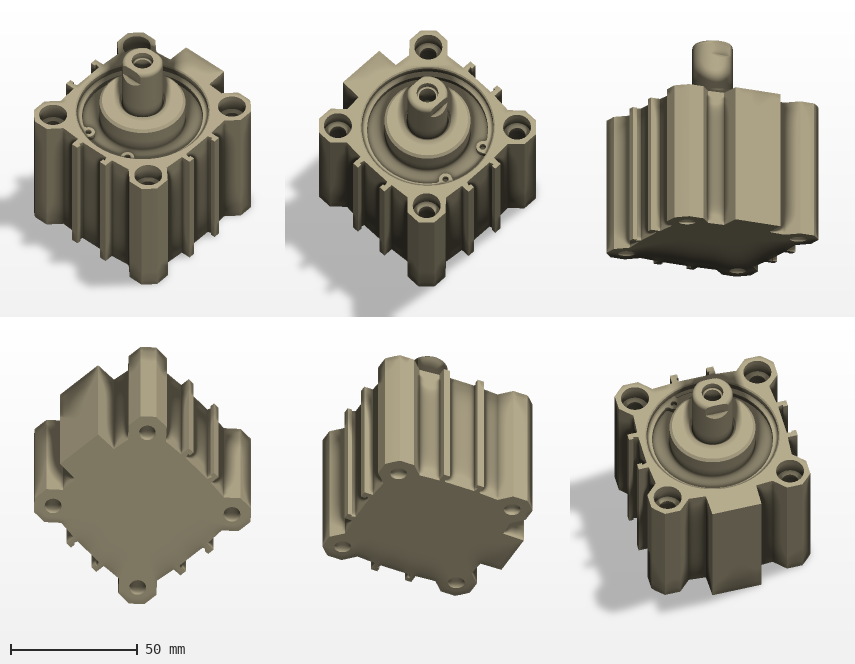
import cadquery as cq
import math

TOTAL_HEIGHT = 83.0
BODY_HEIGHT = 54.45

BODY_WIDTH = 65.0
TOTAL_DEPTH = 70.0
HALF_WIDTH = BODY_WIDTH / 2
POST_CORNER = 28.05
POST_START = 21.8
WAIST = 27.8
WALL = 28.6
WALL_FLAT_HALF = 6.4
PORT_BLOCK_TIP_HALF = 10.05
PORT_BLOCK_ROOT_HALF = 10.3

RIB_HOOK_STEP = 0.9
RIB_ROOT_INSET = 0.3
RIB_HOOK_HEIGHT = 1.9
SIDE_RIB_OUTER = 8.8
SIDE_RIB_TIP = 6.15
FRONT_RIB_OUTER = 8.9
FRONT_RIB_TIP = 5.9
FRONT_RIB_REACH = 32.2

MOUNT_PITCH = 50.05
MOUNT_DIA = 6.6
MOUNT_BORE_DIA = 11.0
MOUNT_BORE_DEPTH = 7.0

BORE_DIA = 52.2
BORE_CHAMFER = 0.5
COVER_DIA = 51.8
COVER_THICKNESS = 12.0
BOSS_DIA = 34.0
BOSS_TOP = 60.4
BOSS_CHAMFER = 1.0
BOSS_ROOT_FILLET = 0.9
ROD_CLEARANCE_DIA = 16.5
WIPER_SEAT_DIA = 17.7
WIPER_SEAT_DEPTH = 0.8
ROD_CLEARANCE_CHAMFER = 0.3
WIPER_SEAT_CHAMFER = 0.5

RING_DIA = 55.2
RING_INNER_DIA = 47.8
RING_THICKNESS = 2.2
RING_TOP_DEPTH = 3.0
EAR_X = 10.3
EAR_Y = -20.7
EAR_RADIUS = 2.6
EAR_HOLE_DIA = 2.5
EAR_FILLET = 1.25
RING_END_ANGLE = 25.0

ROD_DIA = 16.0
ROD_END_FILLET = 1.75
ROD_FLATS_WIDTH = 13.0
ROD_FLATS_LENGTH = 5.5
ROD_BORE_DIA = 8.55
ROD_BORE_DEPTH = 2.9
ROD_THREAD_DIA = 6.8
ROD_THREAD_DEPTH = 13.0
DRILL_POINT_ANGLE = 118.0

ring_top = BODY_HEIGHT - RING_TOP_DEPTH
ring_bottom = ring_top - RING_THICKNESS
seat_floor = ring_bottom - COVER_THICKNESS


def cylinder(diameter, bottom, top):
    """Solid cylinder on the Z axis between two levels."""
    return cq.Workplane("XY").workplane(offset=bottom).circle(diameter / 2).extrude(top - bottom)


def turn(point, quarter):
    """Point on the +Y side, turned clockwise by a number of quarter turns."""
    x, y = point
    for _ in range(quarter):
        x, y = y, -x
    return x, y


def housing_core():
    """Square barrel with four corner posts whose corners lie on a circle about the axis."""
    waist_x = POST_START - (HALF_WIDTH - WAIST)
    side_half = [
        (WALL_FLAT_HALF, WALL),
        (waist_x, WAIST),
        (POST_START, HALF_WIDTH),
        (POST_CORNER, HALF_WIDTH),
    ]
    side = [(-x, y) for x, y in reversed(side_half)] + side_half
    corner_mid = math.hypot(POST_CORNER, HALF_WIDTH) / math.sqrt(2)

    outline = cq.Workplane("XY").moveTo(*side[0])
    for quarter in range(4):
        for point in side[1:]:
            outline = outline.lineTo(*turn(point, quarter))
        outline = outline.threePointArc(
            turn((corner_mid, corner_mid), quarter),
            turn(side[0], quarter + 1),
        )
    return outline.close().extrude(BODY_HEIGHT)


def rib(outer, tip, reach, quarter, mirror):
    """Hooked rib, full body height, on one side of the barrel and one half of that side."""
    root = tip + RIB_ROOT_INSET
    profile = [
        (outer, WAIST),
        (outer, reach),
        (tip, reach),
        (tip, reach - RIB_HOOK_HEIGHT),
        (tip + RIB_HOOK_STEP, reach - RIB_HOOK_HEIGHT),
        (root, WALL),
        (root, WAIST),
    ]
    points = [turn((mirror * x, y), quarter) for x, y in profile]
    return cq.Workplane("XY").polyline(points).close().extrude(BODY_HEIGHT)


def port_block():
    """Slightly tapered block on the +Y side."""
    tip_y = TOTAL_DEPTH - HALF_WIDTH
    points = [
        (-PORT_BLOCK_ROOT_HALF, WAIST),
        (-PORT_BLOCK_TIP_HALF, tip_y),
        (PORT_BLOCK_TIP_HALF, tip_y),
        (PORT_BLOCK_ROOT_HALF, WAIST),
    ]
    return cq.Workplane("XY").polyline(points).close().extrude(BODY_HEIGHT)


def make_housing():
    body = housing_core().union(port_block())
    for mirror in (-1, 1):
        for quarter in (1, 3):
            body = body.union(rib(SIDE_RIB_OUTER, SIDE_RIB_TIP, HALF_WIDTH, quarter, mirror))
        body = body.union(rib(FRONT_RIB_OUTER, FRONT_RIB_TIP, FRONT_RIB_REACH, 2, mirror))

    mouth_profile = [
        (0, BODY_HEIGHT),
        (BORE_DIA / 2 + BORE_CHAMFER, BODY_HEIGHT),
        (BORE_DIA / 2, BODY_HEIGHT - BORE_CHAMFER),
        (0, BODY_HEIGHT - BORE_CHAMFER),
    ]
    mouth = cq.Workplane("XZ").polyline(mouth_profile).close().revolve(360, (0, 0, 0), (0, 1, 0))
    body = body.cut(cylinder(BORE_DIA, seat_floor, BODY_HEIGHT))
    body = body.cut(mouth)
    body = body.cut(cylinder(RING_DIA, ring_bottom, ring_top))

    return (
        body.faces(">Z").workplane(origin=(0, 0, BODY_HEIGHT))
        .rect(MOUNT_PITCH, MOUNT_PITCH, forConstruction=True).vertices()
        .cboreHole(MOUNT_DIA, MOUNT_BORE_DIA, MOUNT_BORE_DEPTH)
    )


def make_cover():
    """Flanged cover, turned about the Z axis, with the wiper seat at the top of its bore."""
    bore = ROD_CLEARANCE_DIA / 2
    seat = WIPER_SEAT_DIA / 2
    seat_level = BOSS_TOP - WIPER_SEAT_DEPTH
    boss = BOSS_DIA / 2
    root = boss + BOSS_ROOT_FILLET
    fillet_mid = BOSS_ROOT_FILLET * (1 - math.sqrt(0.5))
    return (
        cq.Workplane("XZ")
        .moveTo(bore, seat_floor)
        .lineTo(COVER_DIA / 2, seat_floor)
        .lineTo(COVER_DIA / 2, ring_bottom)
        .lineTo(root, ring_bottom)
        .threePointArc((boss + fillet_mid, ring_bottom + fillet_mid), (boss, ring_bottom + BOSS_ROOT_FILLET))
        .lineTo(boss, BOSS_TOP - BOSS_CHAMFER)
        .lineTo(boss - BOSS_CHAMFER, BOSS_TOP)
        .lineTo(seat + WIPER_SEAT_CHAMFER, BOSS_TOP)
        .lineTo(seat, BOSS_TOP - WIPER_SEAT_CHAMFER)
        .lineTo(seat, seat_level)
        .lineTo(bore + ROD_CLEARANCE_CHAMFER, seat_level)
        .lineTo(bore, seat_level - ROD_CLEARANCE_CHAMFER)
        .close()
        .revolve(360, (0, 0, 0), (0, 1, 0))
    )


def make_ring():
    """Open ring with a drilled ear at each end, the opening towards -Y."""
    plane = cq.Workplane("XY").workplane(offset=ring_bottom)
    lean = math.radians(RING_END_ANGLE)
    end_length = RING_DIA / 4
    tangent_x = EAR_X - EAR_RADIUS * math.cos(lean)
    tangent_y = EAR_Y - EAR_RADIUS * math.sin(lean)
    far_x = tangent_x + end_length * math.sin(lean)
    far_y = tangent_y - end_length * math.cos(lean)

    ring = plane.circle(RING_DIA / 2).circle(RING_INNER_DIA / 2).extrude(RING_THICKNESS)
    opening = [(-tangent_x, tangent_y), (-far_x, far_y), (far_x, far_y), (tangent_x, tangent_y)]
    ring = ring.cut(plane.polyline(opening).close().extrude(RING_THICKNESS))

    disc = cylinder(RING_DIA, ring_bottom, ring_top)
    for side in (-1, 1):
        ear = plane.center(side * EAR_X, EAR_Y).circle(EAR_RADIUS).extrude(RING_THICKNESS)
        neck_points = [(EAR_X, EAR_Y), (tangent_x, tangent_y), (far_x, far_y)]
        neck = plane.polyline([(side * x, y) for x, y in neck_points]).close().extrude(RING_THICKNESS)
        ring = ring.union(ear).union(neck.intersect(disc))

    ear_distance = math.hypot(EAR_X, EAR_Y)
    inner = RING_INNER_DIA / 2
    spread = math.acos((inner**2 + ear_distance**2 - EAR_RADIUS**2) / (2 * inner * ear_distance))
    angle = math.atan2(EAR_Y, EAR_X) + spread
    corner_x = inner * math.cos(angle)
    corner_y = inner * math.sin(angle)
    for side in (-1, 1):
        corner = (side * corner_x, corner_y, ring_bottom + RING_THICKNESS / 2)
        ring = ring.edges("|Z").edges(cq.NearestToPointSelector(corner)).fillet(EAR_FILLET)

    holes = plane.pushPoints([(-EAR_X, EAR_Y), (EAR_X, EAR_Y)]).circle(EAR_HOLE_DIA / 2)
    return ring.cut(holes.extrude(RING_THICKNESS))


def make_rod():
    """Plain rod standing on the seat floor, with two wrench flats and a threaded end hole."""
    radius = ROD_DIA / 2
    rod = cylinder(ROD_DIA, seat_floor, TOTAL_HEIGHT).faces(">Z").edges().fillet(ROD_END_FILLET)

    flat_y = ROD_FLATS_WIDTH / 2
    flat_bottom = TOTAL_HEIGHT - ROD_FLATS_LENGTH
    shoulder = radius - flat_y
    for side in (-1, 1):
        cutter = [
            (side * flat_y, TOTAL_HEIGHT),
            (side * flat_y, flat_bottom),
            (side * (flat_y + 2 * shoulder), flat_bottom - 2 * shoulder),
            (side * (flat_y + 2 * shoulder), TOTAL_HEIGHT),
        ]
        rod = rod.cut(cq.Workplane("YZ").polyline(cutter).close().extrude(radius, both=True))

    thread = ROD_THREAD_DIA / 2
    step_level = TOTAL_HEIGHT - ROD_BORE_DEPTH
    hole_end = TOTAL_HEIGHT - ROD_THREAD_DEPTH
    point_length = thread / math.tan(math.radians(DRILL_POINT_ANGLE / 2))
    hole = (
        cq.Workplane("XZ")
        .moveTo(0, TOTAL_HEIGHT)
        .lineTo(ROD_BORE_DIA / 2, TOTAL_HEIGHT)
        .lineTo(ROD_BORE_DIA / 2, step_level)
        .lineTo(thread, step_level)
        .lineTo(thread, hole_end)
        .lineTo(0, hole_end - point_length)
        .close()
        .revolve(360, (0, 0, 0), (0, 1, 0))
    )
    return rod.cut(hole)


housing = make_housing()
cover = make_cover()
ring = make_ring()
rod = make_rod()

bodies = (housing, cover, ring, rod)
result = cq.Compound.makeCompound([body.solids().val() for body in bodies])